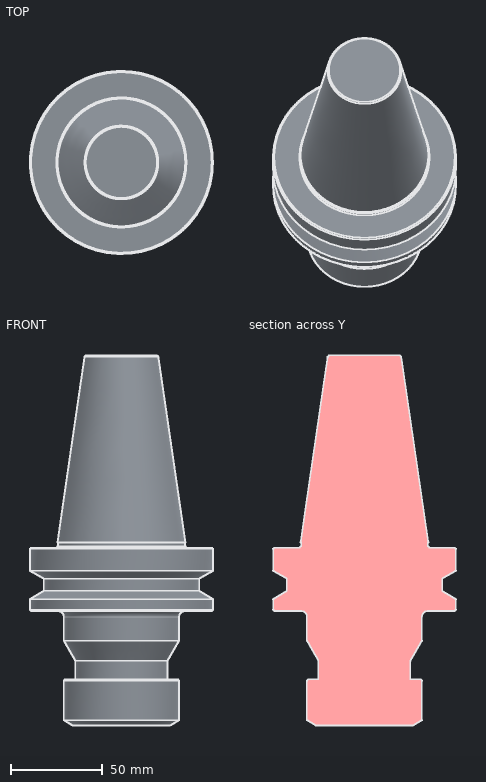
import cadquery as cq

total_height = 201.8
nut_height = 25.5
neck_top = 35.5
body_bottom = 46.5
flange_bottom = 62.4
groove_lower_edge = 69.0
groove_floor_bottom = 73.5
groove_floor_top = 80.1
groove_upper_edge = 84.4
flange_top = 97.0
gauge_level = 99.9

nut_radius = 31.5
nut_face_radius = 26.5
neck_radius = 25.2
body_radius = 31.5
flange_radius = 99.9 / 2
groove_radius = 85.0 / 2
gauge_radius = 35.0

nut_bevel_height = 3.0
edge_chamfer = 0.8
body_fillet = 3.0
shank_flare = 0.8
gauge_bevel = 0.2
taper_ratio = 7 / 48


def taper_radius(level):
    return gauge_radius - taper_ratio * (level - gauge_level)


collar_radius = gauge_radius - gauge_bevel
taper_edge_level = total_height - edge_chamfer
taper_edge_radius = taper_radius(taper_edge_level)

profile = (
    cq.Workplane("XZ")
    .moveTo(0, 0)
    .lineTo(nut_face_radius, 0)
    .lineTo(nut_radius, nut_bevel_height)
    .lineTo(nut_radius, nut_height - edge_chamfer)
    .lineTo(nut_radius - edge_chamfer, nut_height)
    .lineTo(neck_radius, nut_height)
    .lineTo(neck_radius, neck_top)
    .lineTo(body_radius, body_bottom)
    .lineTo(body_radius, flange_bottom - body_fillet)
    .radiusArc((body_radius + body_fillet, flange_bottom), body_fillet)
    .lineTo(flange_radius - edge_chamfer, flange_bottom)
    .lineTo(flange_radius, flange_bottom + edge_chamfer)
    .lineTo(flange_radius, groove_lower_edge)
    .lineTo(groove_radius, groove_floor_bottom)
    .lineTo(groove_radius, groove_floor_top)
    .lineTo(flange_radius, groove_upper_edge)
    .lineTo(flange_radius, flange_top - edge_chamfer)
    .lineTo(flange_radius - edge_chamfer, flange_top)
    .lineTo(collar_radius + shank_flare, flange_top)
    .lineTo(collar_radius, flange_top + shank_flare)
    .lineTo(collar_radius, gauge_level - gauge_bevel)
    .lineTo(gauge_radius, gauge_level)
    .lineTo(taper_edge_radius, taper_edge_level)
    .lineTo(taper_edge_radius - edge_chamfer, total_height)
    .lineTo(0, total_height)
    .close()
)

result = profile.revolve(360, (0, 0, 0), (0, 1, 0))